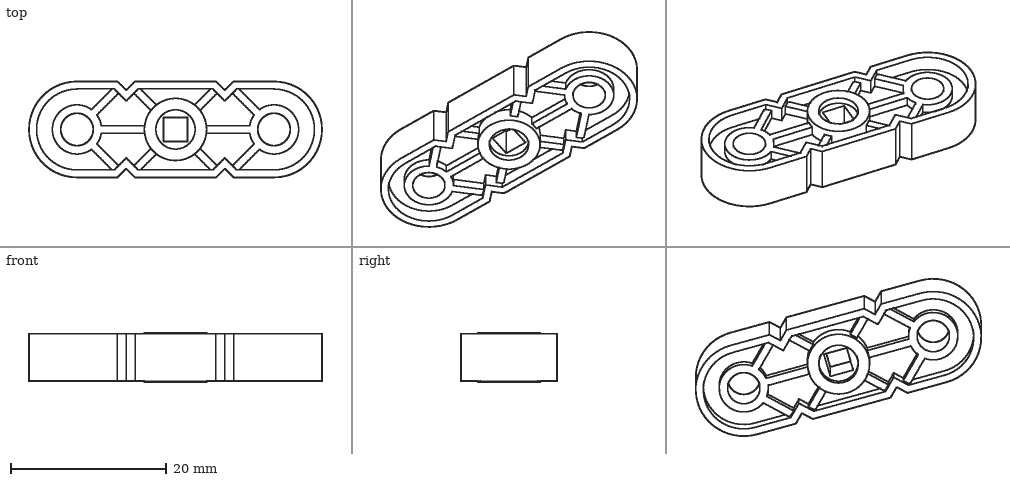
import cadquery as cq
import math

length = 37.8
width = 12.4
total_height = 6.35
rim_height = 6.12
end_radius = width / 2
end_hole_offset = length / 2 - end_radius

wall = 1.0
rib_width = 1.0
pocket_depth = 2.08
rib_drop = 0.8
web_thickness = rim_height - 2 * pocket_depth
rib_height = rim_height - 2 * rib_drop

notch_depth = 1.15
notch_offset = end_hole_offset / 2

end_boss_radius = 3.18
end_hole_radius = 2.08
hub_radius = 4.0
counterbore_radius = 2.55
counterbore_depth = 0.9
square_hole = 3.05


def slab(profile, height):
    """Extrude a closed profile symmetrically about the mid-plane."""
    return profile.extrude(height / 2, both=True)


def cylinder(radius, height, x=0.0):
    """Upright cylinder centred on the mid-plane."""
    return slab(cq.Workplane("XY").center(x, 0).circle(radius), height)


def notched_bar(inset, height):
    """Round-ended bar with four 90 degree notches, all faces moved inward by the inset."""
    radius = end_radius - inset
    bar = slab(cq.Workplane("XY").slot2D(2 * (end_hole_offset + radius), 2 * radius), height)
    tip_y = end_radius - notch_depth - inset * math.sqrt(2)
    reach = radius - tip_y
    for x in (-notch_offset, notch_offset):
        for side in (-1, 1):
            corners = [
                (x, side * tip_y),
                (x - reach, side * radius),
                (x + reach, side * radius),
            ]
            bar = bar.cut(slab(cq.Workplane("XY").polyline(corners).close(), height))
    return bar


def diagonal_rib(x, angle):
    """Rib running outward from a hole axis, long enough to pass the side wall."""
    rib = cq.Workplane("XY").box(width, rib_width, rib_height, centered=(False, True, True))
    return rib.rotate((0, 0, 0), (0, 0, 1), angle).translate((x, 0, 0))


def rib_lattice():
    """Lengthwise spine between the end holes and 45 degree ribs to the notches."""
    hub_angles = (45, 135, 225, 315)
    ribs = cq.Workplane("XY").box(2 * end_hole_offset, rib_width, rib_height)
    for angle in hub_angles:
        ribs = ribs.union(diagonal_rib(0, angle))
    for angle in (-45, 45):
        ribs = ribs.union(diagonal_rib(-end_hole_offset, angle))
        ribs = ribs.union(diagonal_rib(end_hole_offset, 180 + angle))
    return ribs.intersect(notched_bar(wall / 2, rim_height))


body = notched_bar(0, rim_height).cut(notched_bar(wall, rim_height))
body = body.union(notched_bar(wall / 2, web_thickness))
body = body.union(rib_lattice())

for x in (-end_hole_offset, end_hole_offset):
    body = body.union(cylinder(end_boss_radius, rib_height, x))
    body = body.cut(cylinder(end_hole_radius, total_height, x))

body = body.union(cylinder(hub_radius, total_height))
body = body.cut(cq.Workplane("XY").box(square_hole, square_hole, total_height))
counterbores = cylinder(counterbore_radius, total_height).cut(
    cylinder(counterbore_radius, total_height - 2 * counterbore_depth)
)
result = body.cut(counterbores)